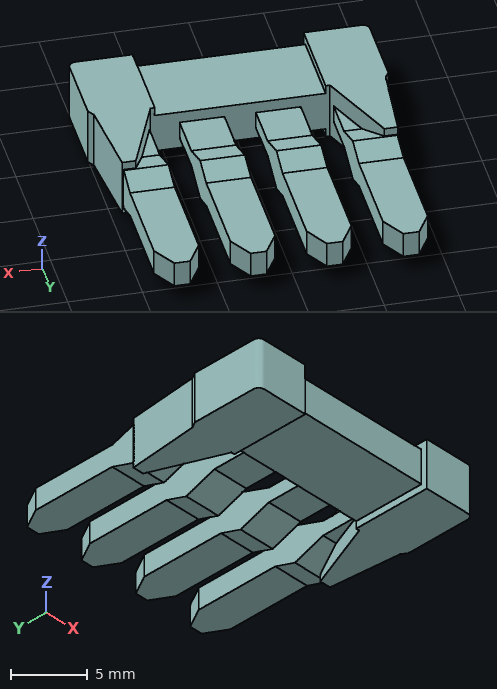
import cadquery as cq

overall_width = 20.1
overall_length = 22.77
cap_height = 4.0

bar_height = 2.8
bar_front = 0.5
bar_back = 6.4

cap_inner_x = 5.71
cap_outer_x = overall_width / 2
cap_tip_y = 12.15
cap_tip_inner_x = 8.3
cap_tip_outer_x = 9.22
cap_slant_inner_x = 6.0
shoulder_end_y = 6.3
shoulder_width = 0.3
shoulder_length = 0.5
cap_corner_radius = 0.5

pin_count = 4
pin_pitch = 5.1
pin_width = 3.0
pin_thickness = 1.8
pin_tip_width = 1.07
pin_taper_length = 1.7
neck_thickness = 1.2
neck_end_y = 9.8
crest_thickness = 3.0
crest_y = 12.35
blade_start_y = 14.13


def make_bar():
    """Crossbar, overlapping the end caps up to the middle of their width."""
    bar_half_length = (cap_inner_x + cap_outer_x) / 2
    bar_depth = bar_back - bar_front
    bar = cq.Workplane("XY").box(2 * bar_half_length, bar_depth, bar_height)
    return bar.translate((0, (bar_front + bar_back) / 2, 0))


def make_right_cap():
    """Block with a tapered arm reaching back beside the outer pin."""
    outline = [
        (cap_inner_x, 0),
        (cap_outer_x, 0),
        (cap_outer_x, shoulder_end_y - shoulder_length),
        (cap_outer_x - shoulder_width, shoulder_end_y),
        (cap_tip_outer_x, cap_tip_y),
        (cap_tip_inner_x, cap_tip_y),
        (cap_slant_inner_x, bar_back),
        (cap_inner_x, bar_back),
    ]
    cap = cq.Workplane("XY").polyline(outline).close().extrude(cap_height / 2, both=True)
    front_outer_corner = cq.selectors.NearestToPointSelector((cap_outer_x, 0, 0))
    return cap.edges(front_outer_corner).fillet(cap_corner_radius)


def make_pin():
    """Pin centred on x = 0: a side profile with a raised crest, cut to a tapered plan outline."""
    root_y = (bar_front + bar_back) / 2
    upper_profile = [
        (root_y, neck_thickness / 2),
        (neck_end_y, neck_thickness / 2),
        (crest_y, crest_thickness / 2),
        (blade_start_y, pin_thickness / 2),
        (overall_length, pin_thickness / 2),
    ]
    lower_profile = [(y, -z) for y, z in reversed(upper_profile)]
    profile = cq.Workplane("YZ").polyline(upper_profile + lower_profile).close()
    side_shape = profile.extrude(pin_width / 2, both=True)

    taper_start_y = overall_length - pin_taper_length
    plan = cq.Workplane("XY").polyline([
        (-pin_width / 2, root_y),
        (pin_width / 2, root_y),
        (pin_width / 2, taper_start_y),
        (pin_tip_width / 2, overall_length),
        (-pin_tip_width / 2, overall_length),
        (-pin_width / 2, taper_start_y),
    ]).close()
    return side_shape.intersect(plan.extrude(crest_thickness, both=True))


right_cap = make_right_cap()
result = make_bar().union(right_cap).union(right_cap.mirror("YZ"))

pin = make_pin()
for index in range(pin_count):
    pin_x = (index - (pin_count - 1) / 2) * pin_pitch
    result = result.union(pin.translate((pin_x, 0, 0)))